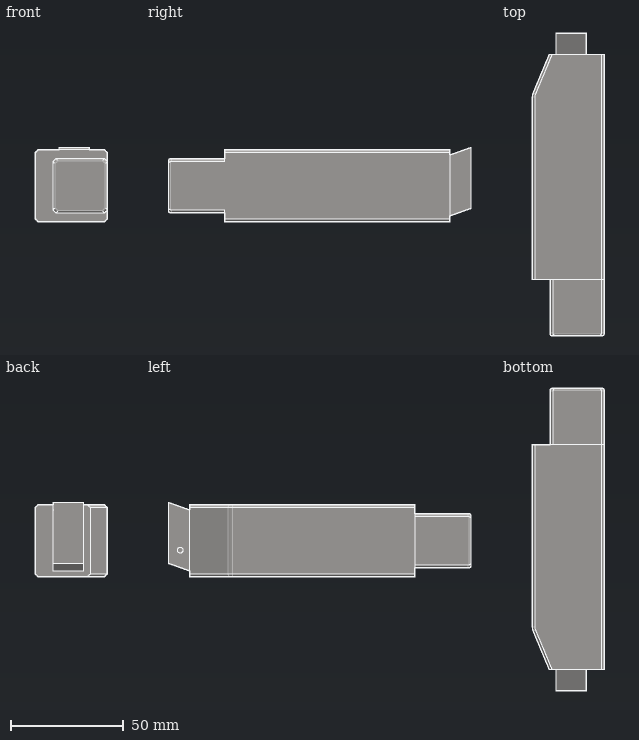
import cadquery as cq
import math

body_side = 32.0
body_length = 100.0
edge_chamfer = 1.2
taper_width = 7.5
taper_length = 18.0
bend_radius = 5.0

block_side = 24.0
block_length = 25.0
block_end_round = 1.0

total_length = 134.4
tongue_length = total_length - body_length - block_length
tongue_left = 10.5
tongue_width = 13.6
tongue_top = 33.0
tongue_height = 27.1
tongue_drop = 3.4

hole_diameter = 2.5
hole_from_end = 5.2
hole_height = 11.8
hole_depth = tongue_width / 2


def make_body():
    """Bar with one tapered rear corner and chamfered long edges."""
    outline = [
        (0, 0),
        (body_side, 0),
        (body_side, body_length),
        (taper_width, body_length),
        (0, body_length - taper_length),
    ]
    bar = cq.Workplane("XY").polyline(outline).close().extrude(body_side)
    bend_point = (0, body_length - taper_length, body_side / 2)
    bar = bar.edges(cq.selectors.NearestToPointSelector(bend_point)).fillet(bend_radius)

    return bar.faces("<Z or >Z").edges("not(|X)").chamfer(edge_chamfer)


def rounded_prism(side, rim_radius):
    """Square prism centred on the Y axis with a rounded front rim."""
    prism = cq.Workplane("XY").box(side, block_length, side)
    return prism.faces("<Y").edges().fillet(rim_radius)


def make_block():
    """Block with a rounded front rim and long-edge chamfers that follow it round the corners."""
    square = rounded_prism(block_side, block_end_round)

    trim_side = math.sqrt(2) * (block_side - edge_chamfer)
    trim = rounded_prism(trim_side, math.sqrt(2) * block_end_round)
    trim = trim.rotate((0, 0, 0), (0, 1, 0), 45)

    centre_x = body_side - block_side / 2
    return square.intersect(trim).translate((centre_x, -block_length / 2, body_side / 2))


def make_tongue():
    """Parallelogram tongue that rises toward its free end, with a blind cross hole."""
    end_y = body_length + tongue_length
    tongue_bottom = tongue_top - tongue_height
    outline = [
        (body_length, tongue_bottom - tongue_drop),
        (end_y, tongue_bottom),
        (end_y, tongue_top),
        (body_length, tongue_top - tongue_drop),
    ]
    side = cq.Workplane("YZ", origin=(tongue_left, 0, 0))
    tongue = side.polyline(outline).close().extrude(tongue_width)
    hole = side.center(end_y - hole_from_end, hole_height).circle(hole_diameter / 2).extrude(hole_depth)
    return tongue.cut(hole)


result = make_body().union(make_block()).union(make_tongue())